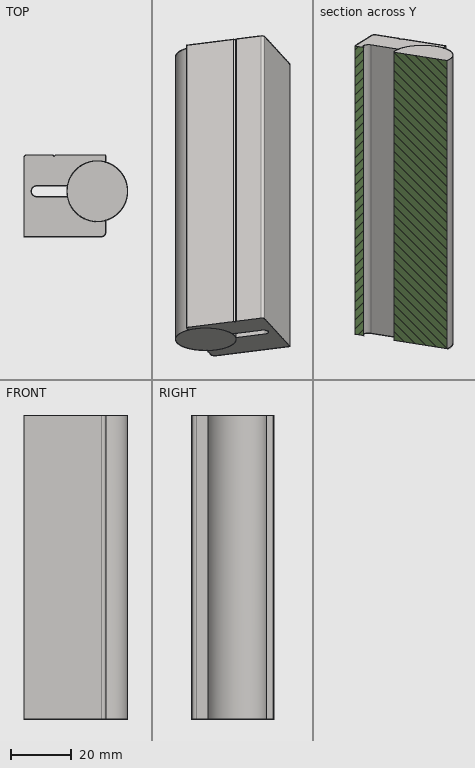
import cadquery as cq

length = 100.0
block_side = 27.0
overall_width = 34.2

rod_diameter = 20.0
rod_x = overall_width - rod_diameter / 2
rod_y = 15.0

slot_width = 3.5
slot_end_x = 2.5

left_back_radius = 1.0
right_front_radius = 1.5
right_back_radius = 0.5

groove_x = 10.0
groove_depth = 0.5
groove_width = 2 * groove_depth


def make_rod():
    """Round bar running the full length, parallel to Z."""
    return cq.Workplane("XY").center(rod_x, rod_y).circle(rod_diameter / 2).extrude(length)


def make_slot():
    """Slot cutter with a semicircular blind end, reaching the rod axis."""
    half_width = slot_width / 2
    arc_center_x = slot_end_x + half_width
    return (
        cq.Workplane("XY")
        .moveTo(rod_x, rod_y - half_width)
        .lineTo(rod_x, rod_y + half_width)
        .lineTo(arc_center_x, rod_y + half_width)
        .threePointArc((slot_end_x, rod_y), (arc_center_x, rod_y - half_width))
        .close()
        .extrude(length)
    )


def make_groove():
    """V-shaped cutter, widest at the +Y face."""
    return (
        cq.Workplane("XY")
        .moveTo(groove_x - groove_width / 2, block_side)
        .lineTo(groove_x + groove_width / 2, block_side)
        .lineTo(groove_x, block_side - groove_depth)
        .close()
        .extrude(length)
    )


def make_block():
    """Square block with rounded edges, an open-sided bore, a slot and a V groove."""
    blank = cq.Workplane("XY").rect(block_side, block_side, centered=False).extrude(length)
    blank = blank.edges("|Z and <X and >Y").fillet(left_back_radius)
    blank = blank.edges("|Z and >X and <Y").fillet(right_front_radius)
    blank = blank.edges("|Z and >X and >Y").fillet(right_back_radius)
    return blank.cut(make_slot()).cut(make_rod()).cut(make_groove())


block = make_block()
rod = make_rod()

result = cq.Compound.makeCompound([block.val(), rod.val()])